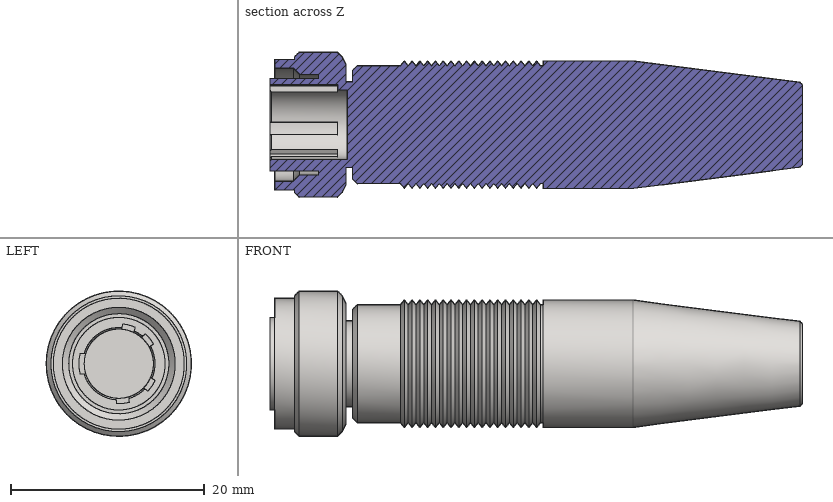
import cadquery as cq
length = 55.0

tube_radius = 4.8
sleeve_start = 0.5
sleeve_radius = 6.75

collar_start = 2.55
collar_end = 7.5
collar_radius = 7.51
collar_chamfer = 0.5
collar_back_radius = 6.2
collar_back_length = 0.4

neck_radius = 4.45

body_start = 8.5
body_radius = 6.1
body_chamfer = 0.5

ridge_start = 13.5
ridge_count = 18
ridges_end = 27.95
ridge_pitch = (ridges_end - ridge_start) / ridge_count
ridge_height = 0.5

rear_start = 28.2
rear_radius = 6.6
taper_start = 37.5
cable_end_radius = 4.4
cable_end_chamfer = 0.3

recess_mouth_radius = 5.85
recess_ring_radius = 5.15
recess_cone_start = 2.4
recess_cone_length = recess_mouth_radius - recess_ring_radius
recess_floor = 5.0

bore_radius = 3.6
bore_depth = 8.0
bore_chamfer = 0.15
slot_radius = 4.1
slot_depth = 7.0
wide_slot_width = 2.15
narrow_slot_width = 1.3
wide_slot_angle = 0
narrow_slot_angles = (105, 141, 214, 264)


def turned(profile):
    """Revolve a closed outline of (x, radius) points about the X axis."""
    return cq.Workplane("XY").polyline(profile).close().revolve(360, (0, 0, 0), (1, 0, 0))


def make_body():
    """Revolve the whole outer profile, from the tube's face to the cable end."""
    neck_start = collar_end + collar_back_length
    profile = [
        (0, 0),
        (0, tube_radius),
        (sleeve_start, tube_radius),
        (sleeve_start, sleeve_radius),
        (collar_start, sleeve_radius),
        (collar_start, collar_radius - collar_chamfer),
        (collar_start + collar_chamfer, collar_radius),
        (collar_end - collar_chamfer, collar_radius),
        (collar_end, collar_radius - collar_chamfer),
        (neck_start, collar_back_radius),
        (neck_start, neck_radius),
        (body_start, neck_radius),
        (body_start, body_radius - body_chamfer),
        (body_start + body_chamfer, body_radius),
        (ridge_start, body_radius),
    ]
    for ridge in range(ridge_count):
        valley = ridge_start + ridge * ridge_pitch
        profile.append((valley + ridge_pitch / 2, body_radius + ridge_height))
        profile.append((valley + ridge_pitch, body_radius))
    profile += [
        (rear_start, body_radius),
        (rear_start, rear_radius),
        (taper_start, rear_radius),
        (length - cable_end_chamfer, cable_end_radius),
        (length, cable_end_radius - cable_end_chamfer),
        (length, 0),
    ]
    return turned(profile)


def make_recess():
    """Ring-shaped recess around the tube, wide at the mouth and narrower below a 45 degree cone."""
    profile = [
        (sleeve_start, tube_radius),
        (sleeve_start, recess_mouth_radius),
        (recess_cone_start, recess_mouth_radius),
        (recess_cone_start + recess_cone_length, recess_ring_radius),
        (recess_floor, recess_ring_radius),
        (recess_floor, tube_radius),
    ]
    return turned(profile)


def make_bore():
    """Blind bore with a chamfered mouth."""
    profile = [
        (0, 0),
        (0, bore_radius + bore_chamfer),
        (bore_chamfer, bore_radius),
        (bore_depth, bore_radius),
        (bore_depth, 0),
    ]
    return turned(profile)


def make_slot(width, angle):
    """Key slot running along the bore, its floor concentric with the bore."""
    bar = cq.Workplane("YZ").center(slot_radius / 2, 0).rect(slot_radius, width).extrude(slot_depth)
    floor_cylinder = cq.Workplane("YZ").circle(slot_radius).extrude(slot_depth)
    return bar.intersect(floor_cylinder).rotate((0, 0, 0), (1, 0, 0), angle)


result = make_body().cut(make_recess()).cut(make_bore())
result = result.cut(make_slot(wide_slot_width, wide_slot_angle))
for slot_angle in narrow_slot_angles:
    result = result.cut(make_slot(narrow_slot_width, slot_angle))